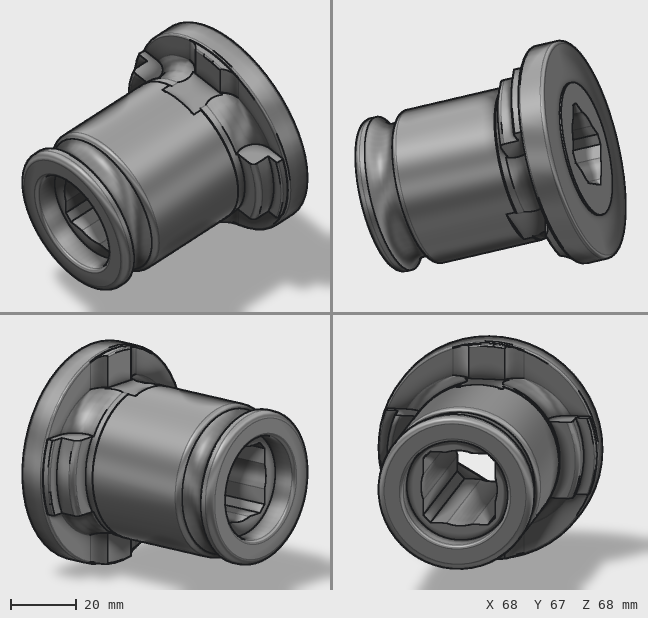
import cadquery as cq
import math


LENGTH = 67.0
BOSS_HEIGHT = 0.6
FLANGE_REAR = LENGTH - BOSS_HEIGHT
FLANGE_FRONT = 58.1
STEP_HEIGHT = 2.5
STEP_FRONT = FLANGE_FRONT - STEP_HEIGHT
LUG_FRONT = 49.3
RELIEF_FRONT = 48.6
NECK_FRONT = 46.65
SHOULDER = 46.3
FLAT_FRONT = 43.45

FLANGE_RADIUS = 34.0
STEP_RADIUS = 33.6
LUG_RADIUS = 29.9
BARREL_RADIUS = 23.95
NECK_RADIUS = 23.7
BOSS_RADIUS = 20.7

FLANGE_REAR_ROUND = 1.0
FLANGE_FRONT_ROUND = 0.7
STEP_ROUND = 0.5
LUG_ROUND = 1.55
RIM_ROUND = 2.05

GROOVE_RADIUS = 5.0
GROOVE_AXIS_RADIUS = 25.85
GROOVE_Y = 8.4
GROOVE_LIP_Y = 12.25
BARREL_ROUND = 1.7

LUG_HALF_WIDTH = 11.9
FLAT_HEIGHT = 22.85
COVE_RADIUS = 6.0
COVE_PATH_RADIUS = 23.8
COVE_PATH_OFFSET = 4.9
KEY_HALF_WIDTH = 10.95
KEY_FLANK_RADIUS = 7.0
COVE_STATIONS = 6
CLEAR = 40.8

SOCKET_HALF_WIDTH = 11.1
SOCKET_CORNER = 2.25
SOCKET_RELIEF_RADIUS = 11.75
COUNTERBORE_RADIUS = 16.2
COUNTERBORE_DEPTH = 7.5
COUNTERBORE_ROUND = 1.0
STOP_DISTANCE = 10.95
STOP_ANGLE = 240.0


def disc(radius, front, rear):
    """Solid cylinder on the Y axis from front to rear."""
    return cq.Workplane("XZ", origin=(0, rear, 0)).circle(radius).extrude(rear - front)


def barrel():
    """Front barrel with its round groove, turned about Y."""
    lip_reach = math.sqrt(GROOVE_RADIUS**2 - (GROOVE_LIP_Y - GROOVE_Y) ** 2)
    lip_radius = GROOVE_AXIS_RADIUS - lip_reach
    rim_rear = GROOVE_Y - math.sqrt(GROOVE_RADIUS**2 - (GROOVE_AXIS_RADIUS - BARREL_RADIUS) ** 2)
    rim_mid = RIM_ROUND * (1 - math.sqrt(0.5))
    profile = (
        cq.Workplane("XY")
        .lineTo(BARREL_RADIUS - RIM_ROUND, 0)
        .threePointArc((BARREL_RADIUS - rim_mid, rim_mid), (BARREL_RADIUS, RIM_ROUND))
        .lineTo(BARREL_RADIUS, rim_rear)
        .threePointArc((GROOVE_AXIS_RADIUS - GROOVE_RADIUS, GROOVE_Y), (lip_radius, GROOVE_LIP_Y))
        .radiusArc((BARREL_RADIUS, GROOVE_LIP_Y + BARREL_ROUND), -BARREL_ROUND)
        .lineTo(BARREL_RADIUS, SHOULDER)
        .lineTo(NECK_RADIUS, NECK_FRONT)
        .lineTo(NECK_RADIUS, FLANGE_FRONT)
        .lineTo(0, FLANGE_FRONT)
        .close()
    )
    return profile.revolve(360, (0, 0, 0), (0, 1, 0))


def flange():
    """Flange disc with rounded edges and the low boss on its rear face."""
    plate = disc(FLANGE_RADIUS, FLANGE_FRONT, FLANGE_REAR)
    plate = plate.faces(">Y").edges().fillet(FLANGE_REAR_ROUND)
    plate = plate.faces("<Y").edges().fillet(FLANGE_FRONT_ROUND)
    return plate.union(disc(BOSS_RADIUS, FLANGE_REAR, LENGTH))


def lug_blank():
    """Stepped discs from which the lugs and keys are left standing."""
    step = disc(STEP_RADIUS, STEP_FRONT, FLANGE_FRONT).faces("<Y").edges().fillet(STEP_ROUND)
    lug = disc(LUG_RADIUS, LUG_FRONT, FLANGE_FRONT).faces("<Y").edges().fillet(LUG_ROUND)
    return step.union(lug)


def hollow_section(x, z, radius, front):
    """Section at height z of a hollow in front of the flange, open outwards.

    Its inner wall is an arc that leaves the flange face tangentially at x and ends at Y = front.
    """
    arc_y = FLANGE_FRONT - radius
    angle = math.acos((front - arc_y) / radius)
    wire = (
        cq.Workplane("XY", origin=(0, 0, z))
        .moveTo(x, FLANGE_FRONT)
        .threePointArc(
            (x - radius * math.sin(angle / 2), arc_y + radius * math.cos(angle / 2)),
            (x - radius * math.sin(angle), front),
        )
        .lineTo(CLEAR, front)
        .lineTo(CLEAR, FLANGE_FRONT)
        .close()
    )
    return wire.val()


def quadrant_hollow():
    """Cove above one lug, whose wall follows an arc, and the straight hollow that shapes the key flank."""
    top = math.sqrt(COVE_PATH_RADIUS**2 - (KEY_HALF_WIDTH - COVE_PATH_OFFSET) ** 2)
    sections = []
    for i in range(COVE_STATIONS):
        z = LUG_HALF_WIDTH + (top - LUG_HALF_WIDTH) * i / (COVE_STATIONS - 1)
        x = COVE_PATH_OFFSET + math.sqrt(COVE_PATH_RADIUS**2 - z**2)
        sections.append(hollow_section(x, z, COVE_RADIUS, RELIEF_FRONT))
    cove = cq.Workplane(cq.Solid.makeLoft(sections))
    flank = hollow_section(KEY_HALF_WIDTH, top, KEY_FLANK_RADIUS, STEP_FRONT)
    key_side = cq.Solid.extrudeLinear(flank, [], cq.Vector(0, 0, CLEAR - top))
    return cove.union(cq.Workplane(key_side))


def flat_cut():
    """Cutter for the flat on top of the neck and barrel, in front of the key."""
    return cq.Workplane("XY").box(
        2 * CLEAR, STEP_FRONT - FLAT_FRONT, CLEAR - FLAT_HEIGHT, centered=(True, False, False)
    ).translate((0, FLAT_FRONT, FLAT_HEIGHT))


def socket():
    """Square socket with cut corners, side reliefs and the stop left in one rear corner."""
    width = 2 * SOCKET_HALF_WIDTH
    square = cq.Workplane("XY").box(width, LENGTH, width, centered=(True, False, True))
    square = square.edges("|Y").chamfer(SOCKET_CORNER)
    hole = square.union(disc(SOCKET_RELIEF_RADIUS, 0, LENGTH))
    stop = (
        cq.Workplane("XY")
        .box(CLEAR, BOSS_HEIGHT, CLEAR, centered=(False, False, True))
        .translate((STOP_DISTANCE, FLANGE_REAR, 0))
        .rotate((0, 0, 0), (0, 1, 0), -STOP_ANGLE)
    )
    return hole.cut(stop)


def counterbore():
    """Round counterbore at the front end with a rounded mouth."""
    profile = (
        cq.Workplane("XY")
        .lineTo(COUNTERBORE_RADIUS + COUNTERBORE_ROUND, 0)
        .radiusArc((COUNTERBORE_RADIUS, COUNTERBORE_ROUND), COUNTERBORE_ROUND)
        .lineTo(COUNTERBORE_RADIUS, COUNTERBORE_DEPTH)
        .lineTo(0, COUNTERBORE_DEPTH)
        .close()
    )
    return profile.revolve(360, (0, 0, 0), (0, 1, 0))


body = barrel().union(lug_blank())

upper_hollow = quadrant_hollow()
right_hollows = upper_hollow.union(upper_hollow.mirror("XY"))
body = body.cut(right_hollows).cut(right_hollows.mirror("YZ"))

top_flat = flat_cut()
body = body.cut(top_flat).cut(top_flat.mirror("XY"))

result = body.union(flange()).cut(socket()).cut(counterbore())